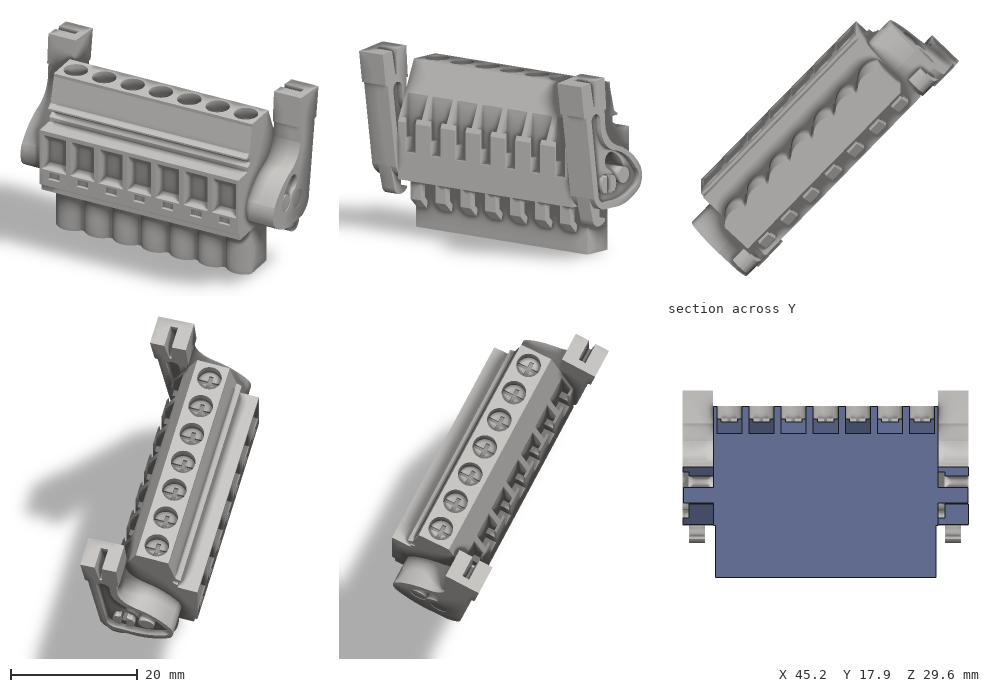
import cadquery as cq
import math


POLE_COUNT = 7
POLE_SPAN = 30.45
PITCH = POLE_SPAN / (POLE_COUNT - 1)
OVERALL_LENGTH = 45.25
LEVER_WIDTH = 4.85
HOUSING_LENGTH = OVERALL_LENGTH - 2 * LEVER_WIDTH
HOUSING_TOP = 18.85

WIRE_WINDOW_WIDTH = 4.25
WIRE_WINDOW_BOTTOM = 4.07
WIRE_WINDOW_TOP = 10.25
WIRE_WINDOW_DEPTH = 2.6
TEST_SLOT_WIDTH = 2.1
TEST_SLOT_BOTTOM = 2.45
TEST_SLOT_TOP = 3.7
TEST_SLOT_DEPTH = 0.6

SCREW_RADIUS = 1.95
SCREW_Y = 7.4
SCREW_SINK = 1.95
SCREW_LENGTH = 2.25
SCREW_LONG_SLOT_WIDTH = 0.55
SCREW_SHORT_SLOT_LENGTH = 2.55
SCREW_SHORT_SLOT_WIDTH = 0.7
SCREW_SLOT_DEPTH = 0.45

POST_HEIGHT = 8.3
POST_BACK_Y = 9.95
POST_WEB_Y = 4.95
POST_FRONT_Y = 3.9
POST_HALF_WIDTH = 2.25

HOUSING_BACK_Y = 14.08
LATCH_POCKET_WIDTH = 4.1
LATCH_POCKET_FRONT_Y = 12.2
LATCH_POCKET_BACK_Y = 13.75
LATCH_POCKET_FLOOR = 6.8
LATCH_WIDTH = 2.1
LATCH_SLOT_FLOOR = 4.53

RECESS_DEPTH = 1.0
WEB_THICKNESS = LEVER_WIDTH - RECESS_DEPTH
THUMB_SLOT_LENGTH = 3.58
FOOT_OFFSET = 1.1
FOOT_WIDTH = 2.55

PIVOT_Y = 10.75
PIVOT_Z = 3.85
PIVOT_RADIUS = 1.55
PIVOT_HEAD_RADIUS = 1.8
PIVOT_HEAD_HEIGHT = 2.5
PIVOT_SPLIT_WIDTH = 1.0
PIVOT_SPLIT_DEPTH = 3.15
PEG_INSET = 0.1
GUIDE_ARC_RADIUS = 3.8
GUIDE_START_ANGLE = 113.0
GUIDE_END_ANGLE = 165.5
GUIDE_SLOT_RADIUS = 1.4
GUIDE_PIN_RADIUS = 1.3

PEG_LENGTH = LEVER_WIDTH - PEG_INSET
PIVOT_HEAD_THICKNESS = RECESS_DEPTH - PEG_INSET

LEFT_LEVER_X = -OVERALL_LENGTH / 2
RIGHT_LEVER_X = HOUSING_LENGTH / 2
LEFT_PEG_X = LEFT_LEVER_X + PEG_INSET
POLE_XS = [(i - (POLE_COUNT - 1) / 2) * PITCH for i in range(POLE_COUNT)]


def side_plane(x):
    """Workplane across X at the given place, with (Y, Z) as its coordinates."""
    return cq.Workplane("YZ", origin=(x, 0, 0))


def block(x_center, width, y_range, z_range):
    """Box centred on x_center that spans the given Y and Z ranges."""
    y0, y1 = y_range
    z0, z1 = z_range
    center = (x_center, (y0 + y1) / 2, (z0 + z1) / 2)
    return cq.Workplane("XY").box(width, y1 - y0, z1 - z0).translate(center)


def cylinder_along_x(x_start, y, z, radius, length):
    return side_plane(x_start).center(y, z).circle(radius).extrude(length)


def guide_point(radius, angle):
    """(Y, Z) point at a radius and an angle in degrees about the pivot axis."""
    turn = math.radians(angle)
    return (PIVOT_Y + radius * math.cos(turn), PIVOT_Z + radius * math.sin(turn))


def housing_body():
    outline = [
        (0.55, 0), (0.55, 1.2), (0, 1.2), (0, 10.95), (3.25, 10.95), (3.25, 11.7),
        (4.07, 12.25), (4.07, 13.2), (2.8, 13.2), (2.8, 13.5), (3.65, 14.05),
        (4.75, 18.3), (4.75, HOUSING_TOP), (10.1, HOUSING_TOP),
        (HOUSING_BACK_Y, 9.32), (HOUSING_BACK_Y, 0),
    ]
    return side_plane(-HOUSING_LENGTH / 2).polyline(outline).close().extrude(HOUSING_LENGTH)


def contact_posts():
    end_x = POLE_XS[-1] + POST_HALF_WIDTH
    outline = cq.Workplane("XY").moveTo(-end_x, POST_BACK_Y).lineTo(-end_x, POST_WEB_Y)
    for x in POLE_XS:
        outline = outline.threePointArc((x, POST_FRONT_Y), (x + POST_HALF_WIDTH, POST_WEB_Y))
        if x != POLE_XS[-1]:
            outline = outline.lineTo(x + PITCH - POST_HALF_WIDTH, POST_WEB_Y)
    return outline.lineTo(end_x, POST_BACK_Y).close().extrude(-POST_HEIGHT)


def latch_finger(x):
    """Hooked finger that hangs from the housing underside behind one post."""
    outline = [
        (12.8, 0), (11.3, 0), (11.7, -1.18), (11.7, -2.8), (11.05, -3.5),
        (11.05, -3.85), (11.3, -4.6), (12.8, -3.15),
    ]
    return side_plane(x - LATCH_WIDTH / 2).polyline(outline).close().extrude(LATCH_WIDTH)


def pole_cuts(x):
    """Openings of one pole: wire window, test slot, screw hole and latch pocket."""
    window = block(x, WIRE_WINDOW_WIDTH, (0, WIRE_WINDOW_DEPTH), (WIRE_WINDOW_BOTTOM, WIRE_WINDOW_TOP))
    test_slot = block(x, TEST_SLOT_WIDTH, (0, TEST_SLOT_DEPTH), (TEST_SLOT_BOTTOM, TEST_SLOT_TOP))
    screw_hole = (
        cq.Workplane("XY", origin=(x, SCREW_Y, HOUSING_TOP))
        .circle(SCREW_RADIUS)
        .extrude(-(SCREW_SINK + SCREW_LENGTH))
    )
    pocket = block(
        x, LATCH_POCKET_WIDTH, (LATCH_POCKET_FRONT_Y, LATCH_POCKET_BACK_Y), (LATCH_POCKET_FLOOR, HOUSING_TOP)
    )
    latch_slot = block(
        x, LATCH_WIDTH, (LATCH_POCKET_FRONT_Y, HOUSING_BACK_Y), (LATCH_SLOT_FLOOR, HOUSING_TOP)
    )
    return [window, test_slot, screw_hole, pocket, latch_slot]


def lever_bearing(start_x):
    """Pivot and guide pin that run from start_x along +X, on one end of the housing."""
    pin_y, pin_z = guide_point(GUIDE_ARC_RADIUS, GUIDE_END_ANGLE)
    pivot = cylinder_along_x(start_x, PIVOT_Y, PIVOT_Z, PIVOT_RADIUS, PEG_LENGTH)
    pin = cylinder_along_x(start_x, pin_y, pin_z, GUIDE_PIN_RADIUS, PEG_LENGTH)
    return [pivot, pin]


def pivot_head():
    """Snap head with two flats that holds the left lever, inside the lever's recess."""
    head = cylinder_along_x(LEFT_PEG_X, PIVOT_Y, PIVOT_Z, PIVOT_HEAD_RADIUS, PIVOT_HEAD_THICKNESS)
    flats = side_plane(LEFT_PEG_X).center(PIVOT_Y, PIVOT_Z)
    flats = flats.rect(2 * PIVOT_HEAD_RADIUS, PIVOT_HEAD_HEIGHT).extrude(PIVOT_HEAD_THICKNESS)
    return head.intersect(flats)


def pivot_split():
    """Slit across the snap head and into the pivot."""
    slit = side_plane(LEFT_PEG_X).center(PIVOT_Y, PIVOT_Z)
    return slit.rect(PIVOT_SPLIT_WIDTH, 2 * PIVOT_HEAD_RADIUS).extrude(PIVOT_SPLIT_DEPTH)


def make_housing():
    body = housing_body().union(contact_posts())
    for x in POLE_XS:
        body = body.union(latch_finger(x))
        for opening in pole_cuts(x):
            body = body.cut(opening)
    for start_x in (LEFT_PEG_X, RIGHT_LEVER_X):
        for peg in lever_bearing(start_x):
            body = body.union(peg)
    return body.union(pivot_head()).cut(pivot_split())


def make_screw(x):
    head_z = HOUSING_TOP - SCREW_SINK
    face = cq.Workplane("XY", origin=(x, SCREW_Y, head_z))
    body = face.circle(SCREW_RADIUS).extrude(-SCREW_LENGTH)
    long_slot = face.rect(SCREW_LONG_SLOT_WIDTH, 2 * SCREW_RADIUS).extrude(-SCREW_SLOT_DEPTH)
    short_slot = face.rect(SCREW_SHORT_SLOT_LENGTH, SCREW_SHORT_SLOT_WIDTH).extrude(-SCREW_SLOT_DEPTH)
    return body.cut(long_slot).cut(short_slot)


def lever_body(lever_x):
    return (
        side_plane(lever_x)
        .moveTo(14.57, 2.0)
        .lineTo(16.6, 15.45)
        .lineTo(17.1, 15.52)
        .lineTo(17.9, 20.65)
        .lineTo(12.0, 21.25)
        .lineTo(11.6, 16.1)
        .lineTo(12.0, 16.1)
        .lineTo(11.8, 13.35)
        .threePointArc((10.95, 11.4), (8.75, 9.8))
        .threePointArc((5.45, 8.15), (3.1, 5.75))
        .threePointArc((2.63, 4.05), (3.12, 2.3))
        .threePointArc((5.55, 0.72), (8.3, 0))
        .lineTo(12.25, 0)
        .threePointArc((13.75, 0.8), (14.57, 2.0))
        .close()
        .extrude(LEVER_WIDTH)
    )


def lever_recess(lever_x):
    return (
        side_plane(lever_x)
        .moveTo(13.6, 2.9)
        .lineTo(15.25, 14.65)
        .threePointArc((14.15, 15.7), (13.1, 14.65))
        .lineTo(12.95, 13.55)
        .threePointArc((12.25, 11.15), (9.85, 9.25))
        .threePointArc((6.45, 7.88), (4.05, 5.4))
        .threePointArc((3.35, 3.9), (4.07, 2.65))
        .threePointArc((6.25, 1.6), (9.2, 1.05))
        .lineTo(12.25, 1.05)
        .threePointArc((13.15, 1.65), (13.6, 2.9))
        .close()
        .extrude(RECESS_DEPTH)
    )


def thumb_slot(lever_x):
    """Wedge-shaped slot, open at the lever's thumb end and -X face."""
    above_lever = 21.72
    outline = [(15.7, above_lever), (14.7, 16.93), (14.3, 16.93), (14.3, above_lever)]
    return side_plane(lever_x).polyline(outline).close().extrude(THUMB_SLOT_LENGTH)


def lever_foot(lever_x):
    """Hooked foot below the lever's heel."""
    return (
        side_plane(lever_x + FOOT_OFFSET)
        .moveTo(14.57, 2.0)
        .lineTo(13.65, -1.55)
        .threePointArc((13.35, -2.25), (12.7, -2.75))
        .threePointArc((11.6, -2.75), (10.5, -2.13))
        .lineTo(10.5, -1.75)
        .lineTo(12.0, -1.75)
        .lineTo(12.0, 2.0)
        .close()
        .extrude(FOOT_WIDTH)
    )


def guide_slot(lever_x):
    """Arc slot about the pivot axis, through the web."""
    web_x = lever_x + RECESS_DEPTH
    outer = GUIDE_ARC_RADIUS + GUIDE_SLOT_RADIUS
    inner = GUIDE_ARC_RADIUS - GUIDE_SLOT_RADIUS
    middle_angle = (GUIDE_START_ANGLE + GUIDE_END_ANGLE) / 2
    band = (
        side_plane(web_x)
        .moveTo(*guide_point(outer, GUIDE_START_ANGLE))
        .threePointArc(guide_point(outer, middle_angle), guide_point(outer, GUIDE_END_ANGLE))
        .lineTo(*guide_point(inner, GUIDE_END_ANGLE))
        .threePointArc(guide_point(inner, middle_angle), guide_point(inner, GUIDE_START_ANGLE))
        .close()
        .extrude(WEB_THICKNESS)
    )
    for angle in (GUIDE_START_ANGLE, GUIDE_END_ANGLE):
        end_y, end_z = guide_point(GUIDE_ARC_RADIUS, angle)
        band = band.union(cylinder_along_x(web_x, end_y, end_z, GUIDE_SLOT_RADIUS, WEB_THICKNESS))
    return band


def make_lever(lever_x):
    pivot_hole = cylinder_along_x(lever_x, PIVOT_Y, PIVOT_Z, PIVOT_RADIUS, LEVER_WIDTH)
    body = lever_body(lever_x).cut(lever_recess(lever_x)).union(lever_foot(lever_x))
    return body.cut(thumb_slot(lever_x)).cut(pivot_hole).cut(guide_slot(lever_x))


housing = make_housing()
screws = [make_screw(x) for x in POLE_XS]
levers = [make_lever(lever_x) for lever_x in (LEFT_LEVER_X, RIGHT_LEVER_X)]

result = cq.Compound.makeCompound([part.val() for part in [housing, *screws, *levers]])